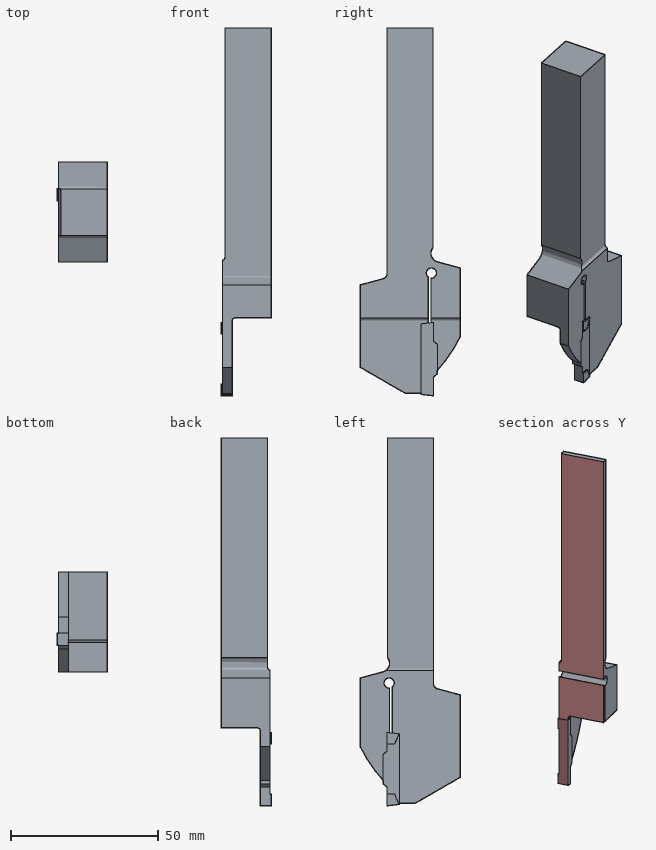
import cadquery as cq
import math


total_height = 125.0
shank_size = 15.8

head_depth = 16.6
head_front_y = -9.1
head_rear_y = 25.0
shoulder_slope = math.tan(math.radians(15))
front_shoulder_z = 37.8
rear_shoulder_z = 43.5
front_fillet = 1.8
relief_radius = 3.0
relief_depth = 0.8
face_step_z = 47.2
face_step_radius = 1.2

blade_thickness = 3.4
blade_top_z = 26.5
blade_root_fillet = 1.0
blade_bottom_z = 0.9
front_bevel_y = 6.2
front_bevel_slope = math.tan(math.radians(30))
rear_curve_top_z = 20.2
rear_curve_mid = (21.1, 13.6)
rear_curve_end_z = 8.6

insert_length = 25.0
insert_front_y = 11.6
insert_edge_y = 15.9
insert_bulge_y = 17.1
bulge_half_length = 5.0
bulge_chamfer = 1.1
end_relief = 0.5
tip_overhang = 0.4
tip_height = 4.0
tip_front_top_y = 13.2
tip_front_end_y = 11.8

slot_width = 0.9
slot_y = 14.5
slot_hole_diameter = 3.4
slot_hole_y = 15.1
slot_hole_z = 41.8

blade_face_x = -head_depth
blade_back_x = blade_face_x + blade_thickness
insert_mid_z = insert_length / 2


def extrude_along_x(outline, start_x, length):
    """Extrude a closed (Y, Z) outline along +X from start_x."""
    return outline.extrude(length).translate((start_x, 0, 0))


def side_outline():
    """Holder outline in the YZ plane, with the front corner left sharp."""
    neck_z = front_shoulder_z - head_front_y * shoulder_slope
    relief_y = shank_size - relief_depth + relief_radius
    shoulder_at_relief_z = rear_shoulder_z + (head_rear_y - relief_y) * shoulder_slope
    relief_z = shoulder_at_relief_z + relief_radius * math.hypot(1, shoulder_slope)
    tangent_angle = math.atan(shoulder_slope)
    relief_start = (
        relief_y - relief_radius * math.sin(tangent_angle),
        relief_z - relief_radius * math.cos(tangent_angle),
    )
    relief_half_height = math.sqrt(relief_radius**2 - (relief_radius - relief_depth) ** 2)
    bevel_end_z = blade_bottom_z + (front_bevel_y - head_front_y) * front_bevel_slope
    return (
        cq.Workplane("YZ")
        .moveTo(0, total_height)
        .lineTo(0, neck_z)
        .lineTo(head_front_y, front_shoulder_z)
        .lineTo(head_front_y, bevel_end_z)
        .lineTo(front_bevel_y, blade_bottom_z)
        .lineTo(insert_front_y, blade_bottom_z)
        .lineTo(insert_front_y, rear_curve_end_z)
        .lineTo(insert_bulge_y, rear_curve_end_z)
        .threePointArc(rear_curve_mid, (head_rear_y, rear_curve_top_z))
        .lineTo(head_rear_y, rear_shoulder_z)
        .lineTo(*relief_start)
        .threePointArc(
            (shank_size - relief_depth, relief_z), (shank_size, relief_z + relief_half_height)
        )
        .lineTo(shank_size, total_height)
        .close()
    )


def depth_outline():
    """Holder outline in the XZ plane: shank, stepped face, block and thin blade."""
    step = head_depth - shank_size
    step_height = math.sqrt(face_step_radius**2 - (face_step_radius - step) ** 2)
    half_angle = math.asin(step_height / face_step_radius) / 2
    arc_middle = (
        -shank_size - face_step_radius * (1 - math.cos(half_angle)),
        face_step_z - face_step_radius * math.sin(half_angle),
    )
    root_mid_offset = blade_root_fillet * (1 - math.sqrt(0.5))
    return (
        cq.Workplane("XZ")
        .moveTo(0, total_height)
        .lineTo(-shank_size, total_height)
        .lineTo(-shank_size, face_step_z)
        .threePointArc(arc_middle, (blade_face_x, face_step_z - step_height))
        .lineTo(blade_face_x, 0)
        .lineTo(blade_back_x, 0)
        .lineTo(blade_back_x, blade_top_z - blade_root_fillet)
        .threePointArc(
            (blade_back_x + root_mid_offset, blade_top_z - root_mid_offset),
            (blade_back_x + blade_root_fillet, blade_top_z),
        )
        .lineTo(0, blade_top_z)
        .close()
    )


def insert_outline():
    """Insert outline in the YZ plane, the same at both ends."""
    chamfer_half_length = bulge_half_length + bulge_chamfer
    return cq.Workplane("YZ").polyline([
        (insert_front_y, end_relief),
        (insert_edge_y, 0),
        (insert_edge_y, insert_mid_z - chamfer_half_length),
        (insert_bulge_y, insert_mid_z - bulge_half_length),
        (insert_bulge_y, insert_mid_z + bulge_half_length),
        (insert_edge_y, insert_mid_z + chamfer_half_length),
        (insert_edge_y, insert_length),
        (insert_front_y, insert_length - end_relief),
    ]).close()


def make_clamping_slot():
    """Through slot from the insert pocket up to its round end hole."""
    slot_length = slot_hole_z - insert_mid_z
    slot_mid_z = insert_mid_z + slot_length / 2
    slot_outline = cq.Workplane("YZ").center(slot_y, slot_mid_z).rect(slot_width, slot_length)
    slot = extrude_along_x(slot_outline, blade_face_x, head_depth)
    hole_outline = cq.Workplane("YZ").center(slot_hole_y, slot_hole_z).circle(slot_hole_diameter / 2)
    return slot.union(extrude_along_x(hole_outline, blade_face_x, head_depth))


def make_holder():
    """Shank, head and blade in one piece, with the insert pocket and clamping slot."""
    side_body = extrude_along_x(side_outline(), blade_face_x, head_depth)
    front_corner = cq.selectors.NearestToPointSelector(
        (blade_face_x / 2, 0, front_shoulder_z - head_front_y * shoulder_slope)
    )
    side_body = side_body.edges(front_corner).fillet(front_fillet)
    head_width = head_rear_y - head_front_y
    depth_body = depth_outline().extrude(-head_width).translate((0, head_front_y, 0))
    pocket = extrude_along_x(insert_outline(), blade_face_x, blade_thickness)
    return side_body.intersect(depth_body).cut(pocket).cut(make_clamping_slot())


def make_insert():
    """Double-ended insert: a body flush with the blade and a raised tip at each end."""
    body = extrude_along_x(insert_outline(), blade_face_x, blade_thickness)
    relief_slope = end_relief / (insert_edge_y - insert_front_y)
    lower_tip_outline = cq.Workplane("YZ").polyline([
        (insert_edge_y, 0),
        (insert_edge_y, tip_height),
        (tip_front_top_y, tip_height),
        (tip_front_end_y, (insert_edge_y - tip_front_end_y) * relief_slope),
    ]).close()
    tip_width = tip_overhang + blade_thickness
    lower_tip = extrude_along_x(lower_tip_outline, blade_face_x - tip_overhang, tip_width)
    upper_tip = lower_tip.mirror("XY", (0, 0, insert_mid_z))
    return body.union(lower_tip).union(upper_tip)


holder = make_holder()
insert = make_insert()

result = cq.Compound.makeCompound([holder.val(), insert.val()])